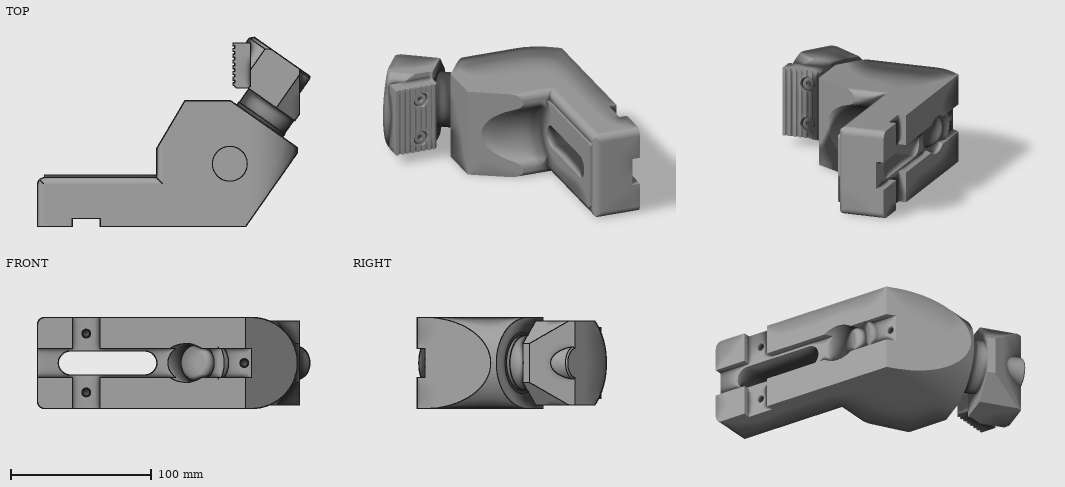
import cadquery as cq
import math

WIDTH = 65.0
HALF_WIDTH = WIDTH / 2
EDGE_RADIUS = 5.0

PLATE_TOP = 35.0
PLATE_OVERLAP = 19.5
PAD_TOP = 36.9
PAD_START = 4.9
PAD_HALF_WIDTH = 25.0
PAD_CORNER = 1.7
SLOT_START = 15.0
SLOT_WIDTH = 16.9
SLOT_END = 85.0

TOWER_START = 84.9
TOWER_SLOPE_START = 55.5
TOWER_TOP = 90.0
TOWER_TOP_START = 105.0
TOWER_ROUND_CENTER = 152.7
UNDERCUT_START = 148.4
POCKET_RADIUS = 23.5
POCKET_MOUTH_RADIUS = 6.0
POCKET_FLOOR_RADIUS = 5.0

KEYWAY_WIDTH = 20.4
KEYWAY_DEPTH = 5.8
KEYWAY_END = 153.0
CROSS_GROOVE_START = 24.9
CROSS_GROOVE_END = 44.7
TAPPED_RADIUS = 2.5
TAPPED_CHAMFER = 0.5
TAPPED_DEPTH = 11.7
DRILL_POINT_HEIGHT = 2.5
SIDE_HOLE_Z = 21.0
END_HOLE_X = 147.5

TILT = 35.0
SHAFT_X = 137.1
SHAFT_Y = 44.9
SHAFT_RADIUS = 12.5
GUIDE_RADIUS = 21.8
COLLAR_RADIUS = 20.0
NECK_RADIUS = 19.6
FACE_AXIAL = 37.0
COLLAR_AXIAL = 39.8
SHOULDER_AXIAL = -38.0
BORE_END_AXIAL = -41.0
TIP_AXIAL = -44.7
TIP_RADIUS = 13.0
TIP_ROUND = 3.7
TIP_BORE_RADIUS = 13.8
BORE_RUNOUT = 38.8

HEAD_BOTTOM = 51.7
HEAD_TOP = 84.0
HEAD_RADIUS = 40.0
HEAD_TOP_CHAMFER = 2.5
HEAD_HALF_WIDTH = 30.1
HEAD_REAR = 20.4
HEAD_REAR_CHAMFER = 16.1
HEAD_BACK_X = 186.8
STEM_RADIUS = 11.8
STEM_CHAMFER = 1.2

JAW_FRONT = 139.3
JAW_SEAT = 151.7
JAW_TOP = 131.1
JAW_BOTTOM = 98.9
JAW_WIDTH = 50.5
JAW_CHAMFER = 2.5
TOOTH_COUNT = 7
TOOTH_PITCH = 4.0
TOOTH_GROOVE_WIDTH = 1.7
TOOTH_GROOVE_DEPTH = 1.4
FIRST_GROOVE_DROP = 3.1

SCREW_Y = 111.9
SCREW_Z = 15.0
SCREW_HEAD_RADIUS = 4.3
SCREW_HEAD_HEIGHT = 5.0
SCREW_RECESS = 2.0
SCREW_RADIUS = 2.5
SCREW_LENGTH = 16.0
COUNTERBORE_RADIUS = 5.6
SOCKET_FLATS = 4.0
SOCKET_DEPTH = 2.5

SIN_TILT = math.sin(math.radians(TILT))
COS_TILT = math.cos(math.radians(TILT))
TAN_TILT = math.tan(math.radians(TILT))
SLOT_LENGTH = SLOT_END - SLOT_START
POCKET_X = SLOT_END - SLOT_WIDTH / 2
TOWER_END = TOWER_ROUND_CENTER + HALF_WIDTH
CROSS_GROOVE_X = (CROSS_GROOVE_START + CROSS_GROOVE_END) / 2
SCREW_SEAT_X = JAW_FRONT + SCREW_RECESS + SCREW_HEAD_HEIGHT


def tilted_point(radial, axial):
    """XY position of a point given across and along the ram axis."""
    return (
        SHAFT_X + radial * COS_TILT + axial * SIN_TILT,
        SHAFT_Y - radial * SIN_TILT + axial * COS_TILT,
    )


def tilted_plane(axial):
    """Workplane square to the ram axis, its local x pointing across the ram to the rear."""
    x, y = tilted_point(0, axial)
    return cq.Workplane(cq.Plane((x, y, 0), (COS_TILT, -SIN_TILT, 0), (SIN_TILT, COS_TILT, 0)))


def tilted_cylinder(radius, start, end):
    return tilted_plane(start).circle(radius).extrude(end - start)


def across(points, width):
    """Prism with an XY outline, centred across Z."""
    return cq.Workplane("XY").polyline(points).close().extrude(width / 2, both=True)


def block(x_range, y_range, width):
    """Box with the given X and Y limits, centred across Z."""
    (x0, x1), (y0, y1) = x_range, y_range
    return across([(x0, y0), (x1, y0), (x1, y1), (x0, y1)], width)


def level(y):
    """Horizontal workplane at height y, its local y pointing to -Z and its normal up."""
    return cq.Workplane("XZ", origin=(0, y, 0)).transformed(rotate=(180, 0, 0))


def base_plate():
    plate = block((0, TOWER_START + PLATE_OVERLAP), (0, PLATE_TOP), WIDTH)
    rounded = [plate.edges(group).fillet(EDGE_RADIUS) for group in ("<X and |Y", ">Y and |X", "<X and >Y")]
    plate = rounded[0].intersect(rounded[1]).intersect(rounded[2])
    pad = block((PAD_START, TOWER_START + PLATE_OVERLAP), (0, PAD_TOP), 2 * PAD_HALF_WIDTH)
    pad = pad.edges("<X and |Y").fillet(PAD_CORNER)
    return plate.union(pad)


def tower():
    face_edge_x, face_edge_y = tilted_point(0, FACE_AXIAL)
    top_end = face_edge_x - (TOWER_TOP - face_edge_y) / TAN_TILT
    end_top = face_edge_y - (TOWER_END - face_edge_x) * TAN_TILT
    end_bottom = (TOWER_END - UNDERCUT_START) / TAN_TILT
    side = across(
        [
            (TOWER_START, 0),
            (TOWER_START, TOWER_SLOPE_START),
            (TOWER_TOP_START, TOWER_TOP),
            (top_end, TOWER_TOP),
            (TOWER_END, end_top),
            (TOWER_END, end_bottom),
            (UNDERCUT_START, 0),
        ],
        WIDTH,
    )
    plan = (
        level(0)
        .moveTo(TOWER_START, -HALF_WIDTH)
        .lineTo(TOWER_ROUND_CENTER, -HALF_WIDTH)
        .threePointArc((TOWER_END, 0), (TOWER_ROUND_CENTER, HALF_WIDTH))
        .lineTo(TOWER_START, HALF_WIDTH)
        .close()
        .extrude(TOWER_TOP)
        .edges("<X and |Y")
        .fillet(EDGE_RADIUS)
    )
    return side.intersect(plan)


def bolt_pocket():
    """Round clearance above the inner end of the slot, with a flared mouth and a rounded floor corner."""
    flare_x = TOWER_START + POCKET_MOUTH_RADIUS
    flare_distance = POCKET_RADIUS + POCKET_MOUTH_RADIUS
    flare_angle = math.acos((flare_x - POCKET_X) / flare_distance)
    flare_z = flare_distance * math.sin(flare_angle)
    wall_x = POCKET_X + POCKET_RADIUS * math.cos(flare_angle)
    wall_z = POCKET_RADIUS * math.sin(flare_angle)
    middle_angle = flare_angle / 2
    flare_middle_x = flare_x - POCKET_MOUTH_RADIUS * math.cos(middle_angle)
    flare_middle_z = flare_z - POCKET_MOUTH_RADIUS * math.sin(middle_angle)
    return (
        level(PAD_TOP)
        .moveTo(TOWER_START, -flare_z)
        .threePointArc((flare_middle_x, -flare_middle_z), (wall_x, -wall_z))
        .threePointArc((POCKET_X + POCKET_RADIUS, 0), (wall_x, wall_z))
        .threePointArc((flare_middle_x, flare_middle_z), (TOWER_START, flare_z))
        .close()
        .extrude(TOWER_TOP)
        .faces("<Y")
        .edges("not <X")
        .fillet(POCKET_FLOOR_RADIUS)
    )


def bolt_slot():
    middle = (SLOT_START + SLOT_END) / 2
    return level(0).center(middle, 0).slot2D(SLOT_LENGTH, SLOT_WIDTH).extrude(TOWER_TOP)


def underside_grooves():
    keyway = block((0, KEYWAY_END), (0, KEYWAY_DEPTH), KEYWAY_WIDTH)
    cross = block((CROSS_GROOVE_START, CROSS_GROOVE_END), (0, KEYWAY_DEPTH), WIDTH)
    return keyway.union(cross)


def tapped_hole(x, z):
    hole = level(KEYWAY_DEPTH).center(x, -z).circle(TAPPED_RADIUS).extrude(TAPPED_DEPTH)
    mouth = (
        level(KEYWAY_DEPTH)
        .center(x, -z)
        .circle(TAPPED_RADIUS + TAPPED_CHAMFER)
        .workplane(offset=TAPPED_CHAMFER)
        .circle(TAPPED_RADIUS)
        .loft()
    )
    point = cq.Workplane(
        cq.Solid.makeCone(
            TAPPED_RADIUS,
            0,
            DRILL_POINT_HEIGHT,
            cq.Vector(x, KEYWAY_DEPTH + TAPPED_DEPTH, z),
            cq.Vector(0, 1, 0),
        )
    )
    return hole.union(mouth).union(point)


def cross_shaft(radius):
    return cq.Workplane("XY").center(SHAFT_X, SHAFT_Y).circle(radius).extrude(HALF_WIDTH, both=True)


def make_housing():
    body = base_plate().union(tower())
    body = body.cut(bolt_pocket()).cut(bolt_slot()).cut(underside_grooves())
    for x, z in [(CROSS_GROOVE_X, SIDE_HOLE_Z), (CROSS_GROOVE_X, -SIDE_HOLE_Z), (END_HOLE_X, 0)]:
        body = body.cut(tapped_hole(x, z))
    body = body.cut(tilted_cylinder(GUIDE_RADIUS, BORE_END_AXIAL, FACE_AXIAL + BORE_RUNOUT))
    body = body.cut(tilted_cylinder(TIP_BORE_RADIUS, BORE_END_AXIAL - BORE_RUNOUT, BORE_END_AXIAL))
    return body.cut(cross_shaft(SHAFT_RADIUS))


def ram_head():
    height = HEAD_TOP - HEAD_BOTTOM
    disc = tilted_cylinder(HEAD_RADIUS, HEAD_BOTTOM, HEAD_TOP)
    disc = disc.faces(">(%f,%f,0)" % (SIN_TILT, COS_TILT)).edges().chamfer(HEAD_TOP_CHAMFER)
    chamfer_start = HEAD_REAR - HEAD_REAR_CHAMFER
    rear_half_width = HEAD_HALF_WIDTH - HEAD_REAR_CHAMFER
    outline = (
        tilted_plane(HEAD_BOTTOM)
        .polyline(
            [
                (-HEAD_RADIUS, -HEAD_HALF_WIDTH),
                (chamfer_start, -HEAD_HALF_WIDTH),
                (HEAD_REAR, -rear_half_width),
                (HEAD_REAR, rear_half_width),
                (chamfer_start, HEAD_HALF_WIDTH),
                (-HEAD_RADIUS, HEAD_HALF_WIDTH),
            ]
        )
        .close()
        .extrude(height)
    )
    back_limit = block((0, HEAD_BACK_X), (0, 2 * TOWER_TOP), WIDTH)
    return disc.intersect(outline).intersect(back_limit).cut(jaw_recess())


def jaw_recess():
    """Front cut with an upright seat; below the seat it follows the side of the neck."""
    seat_end_axial = (JAW_SEAT - SHAFT_X + COLLAR_RADIUS * COS_TILT) / SIN_TILT
    seat_end = tilted_point(-COLLAR_RADIUS, seat_end_axial)
    neck_side = tilted_point(-COLLAR_RADIUS, 0)
    return across([(JAW_SEAT, JAW_TOP), seat_end, neck_side, (0, SHAFT_Y), (0, JAW_TOP)], WIDTH)


def make_ram():
    tip = tilted_cylinder(TIP_RADIUS, TIP_AXIAL, SHOULDER_AXIAL)
    tip = tip.faces("<Y").edges().fillet(TIP_ROUND)
    guide = tilted_cylinder(GUIDE_RADIUS, SHOULDER_AXIAL, FACE_AXIAL)
    collar = tilted_cylinder(COLLAR_RADIUS, FACE_AXIAL, COLLAR_AXIAL)
    neck = tilted_cylinder(NECK_RADIUS, COLLAR_AXIAL, HEAD_BOTTOM)
    stem = tilted_cylinder(STEM_RADIUS, HEAD_BOTTOM, HEAD_TOP)
    stem = stem.faces(">Y").edges().chamfer(STEM_CHAMFER)
    body = guide.union(tip).union(collar).union(neck).union(ram_head()).union(stem)
    body = body.union(cross_shaft(SHAFT_RADIUS))
    for z in (-SCREW_Z, SCREW_Z):
        body = body.cut(screw_shank(z))
    return body


def rod_along_x(x, z, radius, length):
    return cq.Workplane("YZ", origin=(x, SCREW_Y, z)).circle(radius).extrude(length)


def screw_shank(z):
    return rod_along_x(SCREW_SEAT_X, z, SCREW_RADIUS, SCREW_LENGTH)


def make_jaw():
    jaw = block((JAW_FRONT, JAW_SEAT), (JAW_BOTTOM, JAW_TOP), JAW_WIDTH)
    jaw = jaw.edges("<X and <Y").chamfer(JAW_CHAMFER)
    for i in range(TOOTH_COUNT):
        middle = JAW_TOP - FIRST_GROOVE_DROP - i * TOOTH_PITCH
        y_range = (middle - TOOTH_GROOVE_WIDTH / 2, middle + TOOTH_GROOVE_WIDTH / 2)
        jaw = jaw.cut(block((JAW_FRONT, JAW_FRONT + TOOTH_GROOVE_DEPTH), y_range, JAW_WIDTH))
    for z in (-SCREW_Z, SCREW_Z):
        jaw = jaw.cut(rod_along_x(JAW_FRONT, z, COUNTERBORE_RADIUS, SCREW_SEAT_X - JAW_FRONT))
        jaw = jaw.cut(screw_shank(z))
    return jaw


def make_screw(z):
    head_x = SCREW_SEAT_X - SCREW_HEAD_HEIGHT
    corner_diameter = SOCKET_FLATS / math.cos(math.radians(30))
    socket = (
        cq.Workplane("YZ", origin=(head_x, SCREW_Y, z))
        .transformed(rotate=(0, 0, 90))
        .polygon(6, corner_diameter)
        .extrude(SOCKET_DEPTH)
    )
    head = rod_along_x(head_x, z, SCREW_HEAD_RADIUS, SCREW_HEAD_HEIGHT)
    return head.union(screw_shank(z)).cut(socket)


housing = make_housing()
ram = make_ram()
jaw = make_jaw()
screws = [make_screw(z) for z in (-SCREW_Z, SCREW_Z)]

result = cq.Compound.makeCompound(
    [housing.val(), ram.val(), jaw.val(), *[screw.val() for screw in screws]]
)